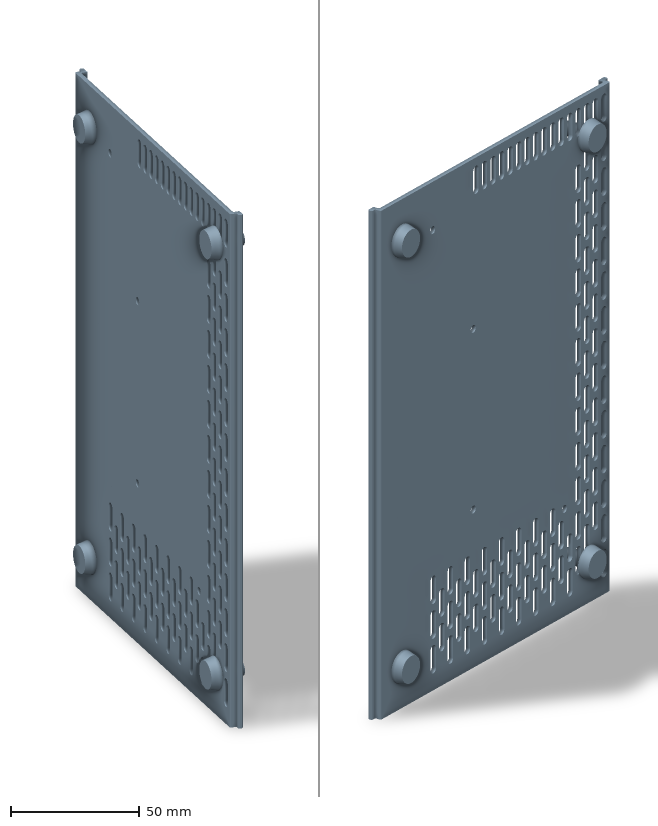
import cadquery as cq

panel_width = 152.5
panel_height = 220.0
sheet = 2.0
outer_face_y = -3.3
inner_face_y = outer_face_y + sheet
lip_setback = 2.6
lip_length = 2.2
step_wall = 1.5
corner_radius = 0.7

slot_width = 3.5
slot_length = 12.0
column_pitch = 5.5
first_column_x = 70.0
column_count = 21
side_columns = 4
side_rows = 13
low_rows = 3
bottom_row_z = -96.5
side_rows_span = 180.0
row_pitch = side_rows_span / (side_rows - 1)
top_row_z = 100.3
top_row_columns = 16
plain_places = {(1, 0), (2, 0), (4, 2)}

screw_hole_diameter = 3.3
screw_holes = [(-40.5, 89.0), (-14.3, 36.5), (-14.3, -41.5), (44.5, -63.5)]

foot_spacing_x = 120.3
foot_spacing_z = 184.4
foot_base_diameter = 13.9
foot_end_diameter = 11.7
foot_height = 4.5
plug_base_diameter = 7.3
plug_end_diameter = 6.0
plug_length = 11.2


def make_sheet_half(side):
    """Half of the bent sheet, from the middle to the lip at the given side (-1 or +1)."""
    edge = panel_width / 2
    step_outside = edge - lip_length
    step_inside = step_outside - step_wall
    lip_outer_y = outer_face_y + lip_setback
    lip_inner_y = inner_face_y + lip_setback
    outline = [
        (0, outer_face_y),
        (step_outside, outer_face_y),
        (step_outside, lip_outer_y),
        (edge, lip_outer_y),
        (edge, lip_inner_y),
        (step_inside, lip_inner_y),
        (step_inside, inner_face_y),
        (0, inner_face_y),
    ]
    bottom = cq.Workplane("XY", origin=(0, 0, -panel_height / 2))
    half = bottom.polyline([(side * x, y) for x, y in outline]).close().extrude(panel_height)

    rounded_corners = [
        (step_outside, outer_face_y),
        (edge, lip_outer_y),
        (edge, lip_inner_y),
        (step_inside, inner_face_y),
    ]
    for x, y in rounded_corners:
        nearest = cq.selectors.NearestToPointSelector((side * x, y, 0))
        half = half.edges("|Z").edges(nearest).fillet(corner_radius)
    return half


def column_x(column):
    return first_column_x - column * column_pitch


def slot_centres():
    """Centres (x, z) of the top row and of the staggered columns below it."""
    centres = [(column_x(column), top_row_z) for column in range(top_row_columns)]
    for column in range(column_count):
        raised = column % 2
        rows = side_rows if column < side_columns else low_rows
        for row in range(rows - raised):
            if (column, row) not in plain_places:
                z = bottom_row_z + (row + raised / 2) * row_pitch
                centres.append((column_x(column), z))
    return centres


def on_outer_face(points):
    """Points (x, z) on the panel's -Y face; extruding by -sheet goes through the panel."""
    return cq.Workplane("XZ", origin=(0, outer_face_y, 0)).pushPoints(points)


def make_foot(x, z):
    """One foot, turned about an axis along Y; the outline is (y, radius)."""
    end_y = outer_face_y - foot_height
    tip_y = outer_face_y + plug_length
    outline = [
        (end_y, 0),
        (end_y, foot_end_diameter / 2),
        (outer_face_y, foot_base_diameter / 2),
        (outer_face_y, plug_base_diameter / 2),
        (tip_y, plug_end_diameter / 2),
        (tip_y, 0),
    ]
    foot = cq.Workplane("YZ").polyline(outline).close().revolve(360, (0, 0), (1, 0))
    return foot.translate((x, 0, z))


def make_panel(feet):
    """The bent sheet with its slots, screw holes and a matching hole for each plug."""
    panel = make_sheet_half(-1).union(make_sheet_half(1))
    slots = on_outer_face(slot_centres()).slot2D(slot_length, slot_width, 90).extrude(-sheet)
    holes = on_outer_face(screw_holes).circle(screw_hole_diameter / 2).extrude(-sheet)
    panel = panel.cut(slots).cut(holes)
    for foot in feet:
        panel = panel.cut(foot)
    return panel.solids()


feet = [
    make_foot(side_x * foot_spacing_x / 2, side_z * foot_spacing_z / 2)
    for side_x in (-1, 1)
    for side_z in (-1, 1)
]
panel = make_panel(feet)

result = cq.Compound.makeCompound([panel.val(), *[foot.val() for foot in feet]])